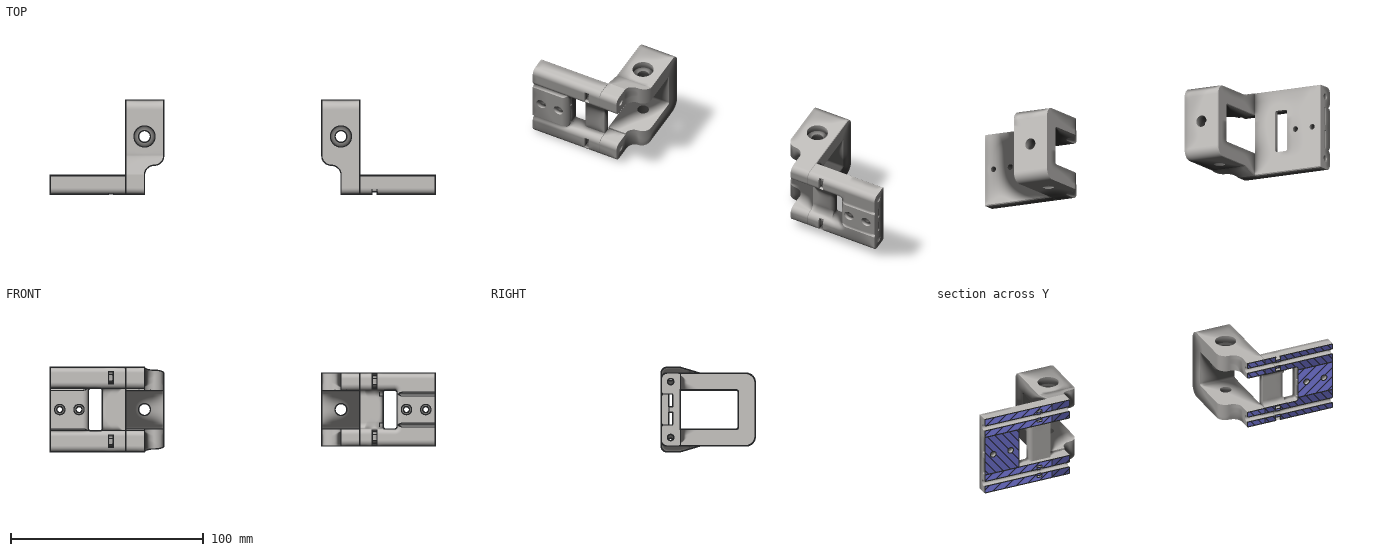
import cadquery as cq
import math

total_length = 200.0
depth = 49.0

bracket_width = 20.0
bracket_half_height = 19.0
bracket_wall = 9.0
bracket_corner_radius = 5.0
bracket_inner_radius = 1.0
arm_inner = bracket_half_height - bracket_wall
mating_chamfer = 0.3
sweep_radius = 5.0
taper_end = 20.0
bolt_diameter = 6.0
bolt_head_diameter = 11.0
bolt_head_depth = 4.0
bolt_y = 30.0

frame_length = 39.0
rail_depth = 10.0
rail_fillet = 3.0
rail_back_chamfer = 0.5
floor_y = 6.0
window_start = 20.0
window_end = 27.0
window_corner_radius = 1.0
window_edge_fillet = 2.0

pad_thickness = 4.0
pad_chamfer = 1.0
pad_end_fillet = 3.0
rib_width = 3.0
pad_holes = (5.0, 15.0)
pad_hole_diameter = 5.4
pad_hole_depth = 2.0
pad_screw_diameter = 3.0

nut_flats = 5.5
nut_thickness = 2.4
nut_hole_diameter = 3.0
nut_x = 30.2
nut_axis_y = 5.0
nut_slot_length = 2.6
rail_hole_diameter = 3.4

big = 100.0
margin = 0.1

bracket_end = frame_length + bracket_width
bracket_middle = frame_length + bracket_width / 2


def box(x0, x1, y0, y1, z0, z1):
    block = cq.Workplane("XY").box(x1 - x0, y1 - y0, z1 - z0, centered=False)
    return block.translate((x0, y0, z0))


def cylinder_x(x0, x1, y, z, diameter):
    return cq.Workplane("YZ", origin=(x0, y, z)).circle(diameter / 2).extrude(x1 - x0)


def cylinder_y(x, y0, y1, diameter):
    return cq.Workplane("XZ", origin=(x, y0, 0)).circle(diameter / 2).extrude(y0 - y1)


def cylinder_z(x, y, z0, z1, diameter):
    return cq.Workplane("XY", origin=(x, y, z0)).circle(diameter / 2).extrude(z1 - z0)


def within(x0, x1, y0, y1, half_z):
    return cq.selectors.BoxSelector((x0, y0, -half_z), (x1, y1, half_z))


def rounded_opening(x0, x1, y_depth, half_height):
    opening = cq.Workplane("XZ").rect(x1 - x0, 2 * half_height).extrude(-y_depth)
    opening = opening.edges("|Y").fillet(window_corner_radius)
    return opening.translate(((x0 + x1) / 2, 0, 0))


def make_pad_slot(slot):
    """Straight slot that holds the pad."""
    return box(-1, window_start + window_corner_radius, -1, floor_y, -slot, slot)


def make_slot_chamfer(slot, side):
    """Wedge that bevels one front edge of the pad slot."""
    corners = [(0, 0), (0, side * (slot + pad_chamfer)), (pad_chamfer, side * slot), (pad_chamfer, 0)]
    wedge = cq.Workplane("YZ").polyline(corners).close()
    return wedge.extrude(window_start + window_corner_radius)


def make_floor_cove(recess, radius, side):
    """Concave fillet between the recess floor and one rail."""
    z_wall = side * recess
    z_axis = side * (recess - radius)
    y_axis = floor_y - radius
    bar = box(window_start, frame_length, y_axis, floor_y, min(z_wall, z_axis), max(z_wall, z_axis))
    return bar.cut(cylinder_x(window_start, frame_length, y_axis, z_axis, 2 * radius))


def make_frame(half_height, recess, slot, floor_fillet, slot_half, rail_axis):
    frame = box(0, frame_length, 0, rail_depth, -half_height, half_height)
    frame = frame.edges("|X and <Y").fillet(rail_fillet)
    frame = frame.edges("|X and >Y").chamfer(rail_back_chamfer)

    recess_end = 2 * frame_length - window_start
    frame = frame.cut(rounded_opening(window_start, recess_end, floor_y, recess))
    if slot == recess:
        frame = frame.cut(make_pad_slot(slot))
        mouth = within(-1, frame_length + 1, -margin, margin, recess + margin)
        frame = frame.edges(mouth).edges("|X").fillet(rail_fillet)
    else:
        mouth = within(window_start - margin, frame_length - margin, -margin, margin, recess + margin)
        frame = frame.edges(mouth).fillet(rail_fillet)
        frame = frame.cut(make_pad_slot(slot))
        for side in (1, -1):
            frame = frame.cut(make_slot_chamfer(slot, side))
    if floor_fillet:
        for side in (1, -1):
            frame = frame.union(make_floor_cove(recess, floor_fillet, side))

    window = rounded_opening(window_start, window_end, rail_depth, recess)
    frame = frame.cut(window)
    plate_end = frame_length - rail_fillet
    plate_half = half_height - rail_fillet
    plate = box(window_start, plate_end, floor_y, rail_depth, -plate_half, plate_half).cut(window)
    edge = within(window_end - margin, window_end + margin, floor_y - margin, floor_y + margin, 1)
    plate = plate.edges(edge).fillet(window_edge_fillet)
    edge_start = window_start + window_corner_radius
    frame = frame.cut(box(edge_start, plate_end, floor_y, rail_depth, -recess, recess).cut(plate))

    frame = frame.union(box(0, window_start, pad_thickness, floor_y, -rib_width / 2, rib_width / 2))
    for x in pad_holes:
        frame = frame.cut(cylinder_y(x, 0, big, pad_screw_diameter))

    slot_floor = nut_axis_y + nut_flats / 2
    for side in (1, -1):
        z = side * rail_axis
        frame = frame.cut(cylinder_x(-1, big, nut_axis_y, z, rail_hole_diameter))
        nut_slot = box(nut_x, nut_x + nut_slot_length, -1, slot_floor, z - slot_half, z + slot_half)
        frame = frame.cut(nut_slot)
    return frame


def make_pad(slot):
    pad = box(0, window_start, 0, pad_thickness, -slot, slot)
    pad = pad.edges("|X and <Y").chamfer(pad_chamfer)
    pad = pad.edges("|Z and <Y and >X").fillet(pad_end_fillet)
    for x in pad_holes:
        pad = pad.cut(cylinder_y(x, -1, big, pad_screw_diameter))
        pad = pad.cut(cylinder_y(x, -1, pad_hole_depth, pad_hole_diameter))
    return pad


def make_bracket(half_height, recess, rail_axis):
    outline = cq.Workplane("YZ", origin=(frame_length, 0, 0)).moveTo(0, -half_height)
    outline = outline.lineTo(rail_depth, -half_height)
    tapered = half_height > bracket_half_height
    if tapered:
        outline = outline.lineTo(taper_end, -bracket_half_height)
    outline = outline.lineTo(depth, -bracket_half_height).lineTo(depth, bracket_half_height)
    if tapered:
        outline = outline.lineTo(taper_end, bracket_half_height)
    outline = outline.lineTo(rail_depth, half_height).lineTo(0, half_height).close()
    bracket = outline.extrude(bracket_width)
    bracket = bracket.edges("|X and >Y").fillet(bracket_corner_radius)
    bracket = bracket.edges("|X and <Y").fillet(rail_fillet)

    opening = box(frame_length - 1, bracket_end + 1, -1, depth - bracket_wall, -arm_inner, arm_inner)
    bracket = bracket.cut(opening.edges("|X and >Y").fillet(bracket_inner_radius))
    if recess > arm_inner:
        bracket = bracket.cut(box(frame_length, bracket_end, 0, rail_depth, -recess, recess))
    inner_front = within(frame_length, bracket_end, -margin, margin, recess + margin)
    bracket = bracket.edges("|X and <Y").edges(inner_front).fillet(rail_fillet)

    step_middle = (bracket_middle + sweep_radius, rail_depth + sweep_radius)
    step_top = rail_depth + 2 * sweep_radius
    step = cq.Workplane("XY", origin=(0, 0, -big)).moveTo(bracket_middle, -1)
    step = step.lineTo(bracket_middle, rail_depth).radiusArc(step_middle, sweep_radius)
    step = step.radiusArc((bracket_end, step_top), -sweep_radius)
    step = step.lineTo(bracket_end + 1, step_top).lineTo(bracket_end + 1, -1).close()
    bracket = bracket.cut(step.extrude(2 * big))
    bracket = bracket.faces("<X").chamfer(mating_chamfer)

    head_floor = bracket_half_height - bolt_head_depth
    bracket = bracket.cut(cylinder_z(bracket_middle, bolt_y, -big, big, bolt_diameter))
    bracket = bracket.cut(cylinder_z(bracket_middle, bolt_y, head_floor, big, bolt_head_diameter))
    bracket = bracket.cut(cylinder_y(bracket_middle, 0, big, bolt_diameter))

    for side in (1, -1):
        bracket = bracket.cut(cylinder_x(0, big, nut_axis_y, side * rail_axis, rail_hole_diameter))
    return bracket


def make_nut(z):
    across_corners = nut_flats / math.cos(math.pi / 6)
    nut = cq.Workplane("YZ", origin=(nut_x, nut_axis_y, z)).transformed(rotate=(0, 0, 90))
    nut = nut.polygon(6, across_corners).extrude(nut_thickness)
    return nut.cut(cylinder_x(0, big, nut_axis_y, z, nut_hole_diameter))


def make_assembly(half_height, recess, slot, floor_fillet, slot_half):
    """Frame, pad, bracket and two nuts, with the frame's free end at X = 0."""
    rail_axis = (half_height + recess) / 2
    frame = make_frame(half_height, recess, slot, floor_fillet, slot_half, rail_axis)
    pad = make_pad(slot)
    bracket = make_bracket(half_height, recess, rail_axis)
    nuts = [make_nut(side * rail_axis) for side in (1, -1)]
    return [body.val() for body in [frame, pad, bracket] + nuts]


tall_assembly = make_assembly(half_height=22.0, recess=11.0, slot=11.0, floor_fillet=0.0, slot_half=3.3)
short_assembly = make_assembly(half_height=19.0, recess=10.0, slot=8.0, floor_fillet=3.0, slot_half=3.9)

to_end = cq.Vector(total_length / 2, 0, 0)
left_bodies = [body.translate(-to_end) for body in tall_assembly]
right_bodies = [body.mirror("YZ").translate(to_end) for body in short_assembly]
result = cq.Compound.makeCompound(left_bodies + right_bodies)